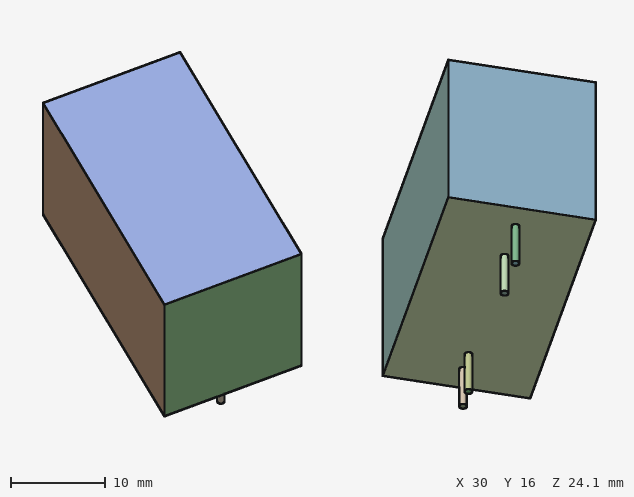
import cadquery as cq

housing_length = 30.0
housing_width = 16.0
housing_height = 19.0

pin_diameter = 0.8
pin_length = 5.1
pin_end_inset = 3.0
left_pair_spacing = 5.0
right_pair_spacing = 2.5

left_pin_x = -housing_length / 2 + pin_end_inset
right_pin_x = housing_length / 2 - pin_end_inset
pin_positions = [
    left_pin_x,
    left_pin_x + left_pair_spacing,
    right_pin_x - right_pair_spacing,
    right_pin_x,
]


def make_housing():
    """Plain block resting on the plane Z = 0."""
    return cq.Workplane("XY").box(
        housing_length, housing_width, housing_height, centered=(True, True, False)
    )


def make_pin(x):
    """Round pin hanging down from the underside of the housing."""
    return cq.Workplane("XY").center(x, 0).circle(pin_diameter / 2).extrude(-pin_length)


housing = make_housing()
pins = [make_pin(x) for x in pin_positions]

result = cq.Compound.makeCompound([housing.val(), *[pin.val() for pin in pins]])